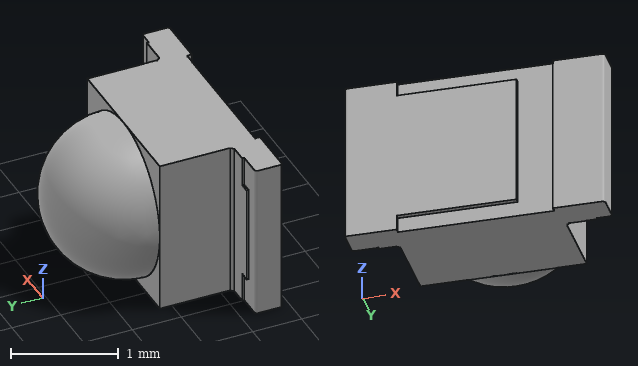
import cadquery as cq

LENGTH = 2.5
WIDTH = 1.6
END_THICKNESS = 0.28
PLATE_THICKNESS = 0.3
END_STEP = 0.15
EDGE_RADIUS = 0.03

BODY_LENGTH = WIDTH
BODY_TOP = 1.05
DOME_RADIUS = WIDTH / 2
ROOT_BEVEL = 0.03

TERMINAL_LENGTH = 0.5
RECESS_DEPTH = 0.05
PAD_RIGHT = 1.65
PAD_MARGIN = 0.15

NOTCH_END = 0.25
NOTCH_WIDTH = 0.3


def block(x_range, y_range, z_range):
    """Return a box spanning the given (low, high) pairs."""
    lows, highs = zip(*[x_range, y_range, z_range])
    sizes = [high - low for low, high in zip(lows, highs)]
    return cq.Workplane().box(*sizes, centered=False).translate(lows)


def base_plate():
    plate = block((0, LENGTH), (0, END_THICKNESS), (0, WIDTH)).edges("|Z").fillet(EDGE_RADIUS)
    shoulder = block((END_STEP, LENGTH - END_STEP), (EDGE_RADIUS, PLATE_THICKNESS), (0, WIDTH))
    for z in (0, WIDTH - NOTCH_WIDTH):
        shoulder = shoulder.cut(
            block((END_STEP, NOTCH_END), (END_THICKNESS, PLATE_THICKNESS), (z, z + NOTCH_WIDTH))
        )
    return plate.union(shoulder)


def body():
    """Block with bevels where it meets the plate."""
    left = (LENGTH - BODY_LENGTH) / 2
    right = left + BODY_LENGTH
    bevel_top = PLATE_THICKNESS + ROOT_BEVEL
    return (
        cq.Workplane()
        .moveTo(left, BODY_TOP)
        .lineTo(left, bevel_top)
        .lineTo(left - ROOT_BEVEL, PLATE_THICKNESS)
        .lineTo(left - ROOT_BEVEL, END_THICKNESS)
        .lineTo(right + ROOT_BEVEL, END_THICKNESS)
        .lineTo(right + ROOT_BEVEL, PLATE_THICKNESS)
        .lineTo(right, bevel_top)
        .lineTo(right, BODY_TOP)
        .close()
        .extrude(WIDTH)
    )


def dome():
    """Hemisphere on the outer face of the body."""
    return (
        cq.Workplane()
        .moveTo(0, 0)
        .lineTo(-DOME_RADIUS, 0)
        .radiusArc((0, DOME_RADIUS), DOME_RADIUS)
        .close()
        .revolve(360, (0, 0, 0), (0, 1, 0))
        .translate((LENGTH / 2, BODY_TOP, WIDTH / 2))
    )


def solder_face_recess():
    """Space between the terminals, around the pad."""
    depth = (0, RECESS_DEPTH)
    gap = block((TERMINAL_LENGTH, LENGTH - TERMINAL_LENGTH), depth, (0, WIDTH))
    pad = block((TERMINAL_LENGTH, PAD_RIGHT), depth, (PAD_MARGIN, WIDTH - PAD_MARGIN))
    return gap.cut(pad)


result = base_plate().union(body()).union(dome()).cut(solder_face_recess())